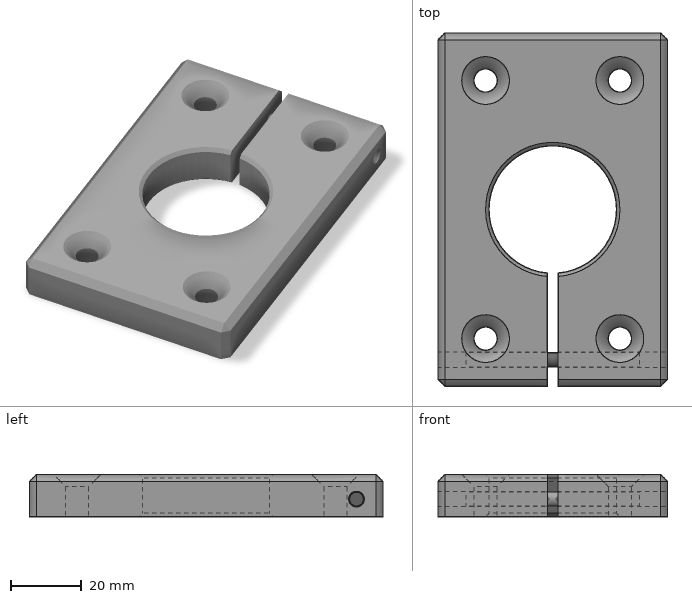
import cadquery as cq

plate_width = 65.0
plate_length = 100.0
plate_thickness = 12.0
edge_chamfer = 2.0

bore_diameter = 36.0
bore_chamfer = 1.0
slot_width = 3.0

mount_spacing_x = 38.0
mount_spacing_y = 73.0
mount_diameter = 6.5
countersink_diameter = 13.5
countersink_angle = 90.0

screw_diameter = 4.0
screw_y = -42.5
screw_height = 5.0
screw_hole_diameter = 4.3
screw_end_depth = 8.0
screw_length = plate_width - 2 * screw_end_depth


def x_cylinder(diameter, length):
    """Cylinder on the screw axis, centred on the slot."""
    return (
        cq.Workplane("YZ", origin=(-length / 2, screw_y, screw_height))
        .circle(diameter / 2)
        .extrude(length)
    )


def make_blank():
    """Plate with its upright and top edges chamfered in one go, so each top corner ends in a facet."""
    blank = cq.Workplane("XY").box(plate_width, plate_length, plate_thickness, centered=(True, True, False))
    return blank.edges("|Z or >Z").chamfer(edge_chamfer)


def make_bore():
    """Bore cutter, flared by a chamfer at both ends."""
    radius = bore_diameter / 2
    flared_radius = radius + bore_chamfer
    return (
        cq.Workplane("XZ")
        .moveTo(0, 0)
        .lineTo(flared_radius, 0)
        .lineTo(radius, bore_chamfer)
        .lineTo(radius, plate_thickness - bore_chamfer)
        .lineTo(flared_radius, plate_thickness)
        .lineTo(0, plate_thickness)
        .close()
        .revolve(360, (0, 0), (0, 1))
    )


def make_slot():
    """Slot cutter from the bore centre out through the -Y side."""
    half_length = plate_length / 2
    return (
        cq.Workplane("XY")
        .center(0, -half_length / 2)
        .rect(slot_width, half_length)
        .extrude(plate_thickness)
    )


def make_plate():
    """Split clamping plate with four countersunk mounting holes."""
    plate = make_blank()
    plate = plate.cut(make_bore())
    plate = plate.cut(make_slot())
    plate = plate.cut(x_cylinder(screw_hole_diameter, plate_width))
    return (
        plate.faces(">Z")
        .workplane(origin=(0, 0, plate_thickness))
        .rarray(mount_spacing_x, mount_spacing_y, 2, 2)
        .cskHole(mount_diameter, countersink_diameter, countersink_angle)
    )


def make_screw():
    """Plain headless clamping screw, sunk below both sides of the plate."""
    return x_cylinder(screw_diameter, screw_length)


plate = make_plate()
screw = make_screw()

result = cq.Compound.makeCompound([plate.val(), screw.val()])